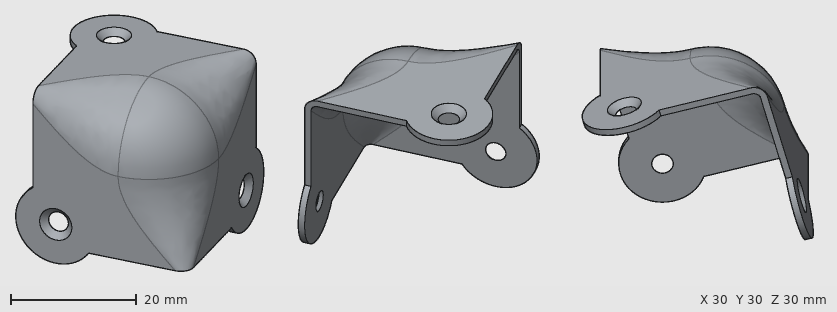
import cadquery as cq
import math

overall = 30.0
wall_length = 27.0
thickness = 1.1
dome_radius = 12.15
edge_radius = 2.2
end_steepness = 1.5
edge_sections = 9
tab_radius = 7.0
tab_center = overall - tab_radius
hole_diameter = 3.4
countersink_diameter = 5.6


def rotate_to_edge(shape, index):
    """Cycle the three axes about the diagonal of the corner."""
    return shape.rotate((0, 0, 0), (1, 1, 1), 120 * index)


def bend_radius(fraction):
    """Outer bend radius from the dome (0) to the open end (1), level at the dome."""
    quadratic = 3 - end_steepness
    cubic = end_steepness - 2
    drop = quadratic * fraction**2 + cubic * fraction**3
    return dome_radius - (dome_radius - edge_radius) * drop


def edge_waste(inset):
    """Material outside the flared bend on the Z edge, offset inwards by inset."""
    waste = cq.Workplane("XY")
    height = 0
    for section in range(edge_sections):
        fraction = section / (edge_sections - 1)
        level = dome_radius + (wall_length - dome_radius) * fraction
        center = bend_radius(fraction)
        mid = center - (center - inset) * math.sqrt(0.5)
        waste = (
            waste.workplane(offset=level - height)
            .moveTo(inset, inset)
            .lineTo(center, inset)
            .threePointArc((mid, mid), (inset, center))
            .close()
        )
        height = level
    return waste.loft(combine=True)


def corner_body(inset):
    """Solid bounded by the walls' outer faces moved inwards by inset."""
    body = cq.Workplane("XY").box(*[wall_length - inset] * 3, centered=False)
    body = body.translate((inset, inset, inset))
    dome = cq.Workplane("XY").sphere(dome_radius - inset).rotate((0, 0, 0), (0, 0, 1), 180)
    dome = dome.translate((dome_radius,) * 3)
    dome_waste = cq.Workplane("XY").box(*[dome_radius - inset] * 3, centered=False)
    dome_waste = dome_waste.translate((inset, inset, inset)).cut(dome)
    body = body.cut(dome_waste)
    for index in range(3):
        body = body.cut(rotate_to_edge(edge_waste(inset), index))
    return body


tab = (
    cq.Workplane("XY")
    .center(tab_center, tab_center)
    .circle(tab_radius)
    .extrude(thickness)
)
screw_hole = (
    cq.Workplane("XY")
    .center(tab_center, tab_center)
    .circle(countersink_diameter / 2)
    .workplane(offset=thickness)
    .circle(hole_diameter / 2)
    .loft(combine=True)
)

protector = corner_body(0).cut(corner_body(thickness))
for index in range(3):
    protector = protector.union(rotate_to_edge(tab, index))
for index in range(3):
    protector = protector.cut(rotate_to_edge(screw_hole, index))

result = protector.solids().rotate((0, 0, 0), (0, 1, 0), 180)